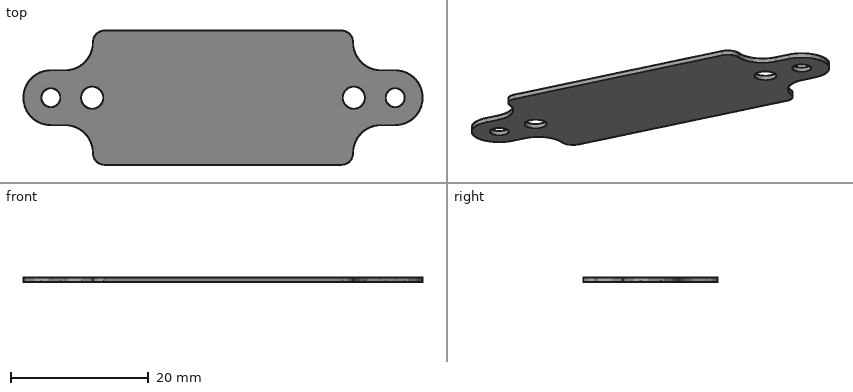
import cadquery as cq

length = 58.0
width = 19.55
thickness = 0.7

body_length = 37.8
corner_radius = 1.75
tab_radius = 4.0
neck_radius = 4.0

outer_hole_diameter = 2.7
inner_hole_diameter = 3.2
inner_hole_spacing = 38.0
tab_center_spacing = length - 2 * tab_radius


def plate_blank():
    """Central body joined to a full-length tab strip with round ends."""
    body = cq.Workplane("XY").rect(body_length, width).extrude(thickness)
    body = body.edges("|Z").fillet(corner_radius)
    strip = cq.Workplane("XY").slot2D(length, 2 * tab_radius).extrude(thickness)
    return body.union(strip)


def neck_fillet(side_x, side_y):
    """Concave web filling the corner between the body end and a tab edge."""
    corner_x = side_x * body_length / 2
    corner_y = side_y * tab_radius
    round_cut = (
        cq.Workplane("XY")
        .center(side_x * neck_radius, side_y * neck_radius)
        .circle(neck_radius)
        .extrude(thickness)
    )
    corner_block = (
        cq.Workplane("XY")
        .center(side_x * neck_radius / 2, side_y * neck_radius / 2)
        .rect(neck_radius, neck_radius)
        .extrude(thickness)
    )
    return corner_block.cut(round_cut).translate((corner_x, corner_y, 0))


def hole_pair(spacing, diameter):
    """Two through holes placed symmetrically along X."""
    places = [(-spacing / 2, 0), (spacing / 2, 0)]
    return cq.Workplane("XY").pushPoints(places).circle(diameter / 2).extrude(thickness)


plate = plate_blank()
for side_x in (-1, 1):
    for side_y in (-1, 1):
        plate = plate.union(neck_fillet(side_x, side_y))

plate = plate.cut(hole_pair(tab_center_spacing, outer_hole_diameter))
plate = plate.cut(hole_pair(inner_hole_spacing, inner_hole_diameter))

result = plate